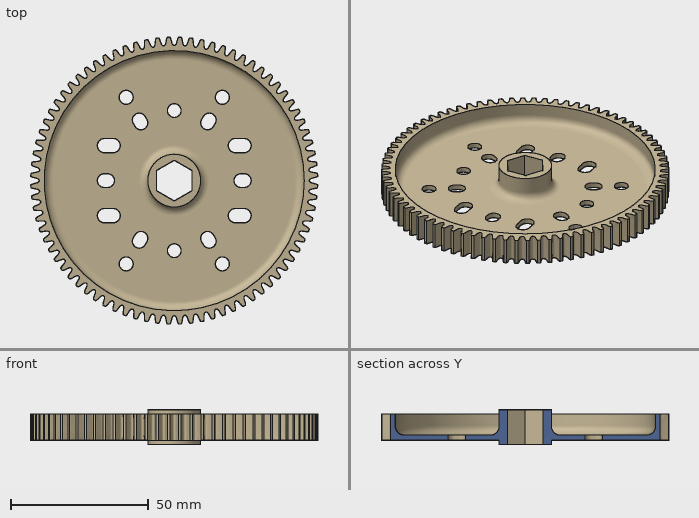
import cadquery as cq
import math

outer_size = 104.1
tooth_count = 80
pressure_angle = math.radians(17)
pitch_radius = 50.6
flank_start_radius = 49.5
rim_height = 9.6
rim_inner_radius = 47.2

hub_height = 12.7
hub_radius = 9.6
hex_across_flats = 12.7
web_thickness = 2.0
corner_fillet = 3.1

grid_step = 25.4
round_hole_diameter = 4.9
outer_hole_diameter = 5.0
outer_hole_circle_radius = 34.9
outer_hole_angles = (60, 120, 240, 300)
short_slot_count = 6
short_slot_length = 6.1
long_slot_length = 8.2
long_slot_width = 5.1

rim_bottom = -rim_height / 2
rim_top = rim_height / 2
web_top = rim_bottom + web_thickness
base_radius = pitch_radius * math.cos(pressure_angle)


def involute(angle):
    return math.tan(angle) - angle


def tooth_half_angle(radius):
    """Half of the angle that an involute tooth spans at the given radius."""
    flank_angle = math.acos(base_radius / radius)
    return math.pi / (2 * tooth_count) + involute(pressure_angle) - involute(flank_angle)


def root_bottom_radius():
    """Radius to the bottom of a root rounded tangent to the flanks on both sides."""
    half_space = math.pi / tooth_count - tooth_half_angle(flank_start_radius)
    flank_slope = half_space + math.acos(base_radius / flank_start_radius)
    arc_radius = flank_start_radius * math.sin(half_space) / math.cos(flank_slope)
    return flank_start_radius * math.cos(half_space) - arc_radius * (1 - math.sin(flank_slope))


def polar(radius, angle):
    return (radius * math.cos(angle), radius * math.sin(angle))


def toothed_disc():
    """Solid disc with involute teeth and rounded roots; tooth spaces lie on the X and Y axes."""
    tooth_pitch = 2 * math.pi / tooth_count
    nearest_tip_angle = tooth_pitch / 2 - tooth_half_angle(outer_size / 2)
    tip_radius = outer_size / 2 / math.cos(nearest_tip_angle)

    root_radius = root_bottom_radius()

    flank_radii = (flank_start_radius, (flank_start_radius + tip_radius) / 2, tip_radius)
    half_spaces = [tooth_pitch / 2 - tooth_half_angle(radius) for radius in flank_radii]

    outline = cq.Workplane("XY").workplane(offset=rim_bottom)
    outline = outline.moveTo(*polar(tip_radius, -half_spaces[-1]))
    for index in range(tooth_count):
        space_middle = index * tooth_pitch
        falling = [polar(r, space_middle - a) for r, a in zip(flank_radii, half_spaces)]
        rising = [polar(r, space_middle + a) for r, a in zip(flank_radii, half_spaces)]
        root = polar(root_radius, space_middle)
        next_tip_middle = polar(tip_radius, space_middle + tooth_pitch / 2)
        next_tip_end = polar(tip_radius, space_middle + tooth_pitch - half_spaces[-1])
        outline = (
            outline.spline([falling[1], falling[0], root] + rising, includeCurrent=True)
            .threePointArc(next_tip_middle, next_tip_end)
        )
    return outline.close().extrude(rim_height)


def dish_recess():
    """Ring-shaped recess above the web, with its floor rounded into the hub and the rim."""
    diagonal = corner_fillet * (1 - math.sqrt(0.5))
    hub_arc_middle = (hub_radius + diagonal, web_top + diagonal)
    rim_arc_middle = (rim_inner_radius - diagonal, web_top + diagonal)
    return (
        cq.Workplane("XZ")
        .moveTo(hub_radius, rim_top)
        .lineTo(hub_radius, web_top + corner_fillet)
        .threePointArc(hub_arc_middle, (hub_radius + corner_fillet, web_top))
        .lineTo(rim_inner_radius - corner_fillet, web_top)
        .threePointArc(rim_arc_middle, (rim_inner_radius, web_top + corner_fillet))
        .lineTo(rim_inner_radius, rim_top)
        .close()
        .revolve(360, (0, 0), (0, 1))
    )


def hub():
    """Round hub that stands proud of both faces of the rim."""
    return cq.Workplane("XY").circle(hub_radius).extrude(hub_height / 2, both=True)


def hex_bore():
    """Hexagonal through bore with two corners on the Y axis."""
    across_corners = hex_across_flats / math.cos(math.pi / 6)
    return (
        cq.Workplane("XY")
        .transformed(rotate=(0, 0, 30))
        .polygon(6, across_corners)
        .extrude(hub_height / 2, both=True)
    )


def mounting_holes():
    """Cutters for the round holes and slots through the web."""
    sketch = cq.Workplane("XY")
    slot_outer_end = grid_step + round_hole_diameter / 2

    round_holes = sketch.pushPoints([(0, grid_step), (0, -grid_step)]).circle(round_hole_diameter / 2)
    cutters = round_holes.extrude(rim_height, both=True)

    outer_points = [polar(outer_hole_circle_radius, math.radians(a)) for a in outer_hole_angles]
    outer_holes = sketch.pushPoints(outer_points).circle(outer_hole_diameter / 2)
    cutters = cutters.add(outer_holes.extrude(rim_height, both=True))

    short_slot_radius = slot_outer_end - short_slot_length / 2
    short_slots = (
        sketch.polarArray(short_slot_radius, 0, 360, short_slot_count)
        .slot2D(short_slot_length, round_hole_diameter)
        .extrude(rim_height, both=True)
    )
    cutters = cutters.add(short_slots)

    long_slot_x = slot_outer_end - long_slot_length / 2
    long_slots = (
        sketch.rect(2 * long_slot_x, grid_step, forConstruction=True)
        .vertices()
        .slot2D(long_slot_length, long_slot_width)
        .extrude(rim_height, both=True)
    )
    return cutters.add(long_slots).combine()


result = toothed_disc().cut(dish_recess()).union(hub()).cut(hex_bore()).cut(mounting_holes())